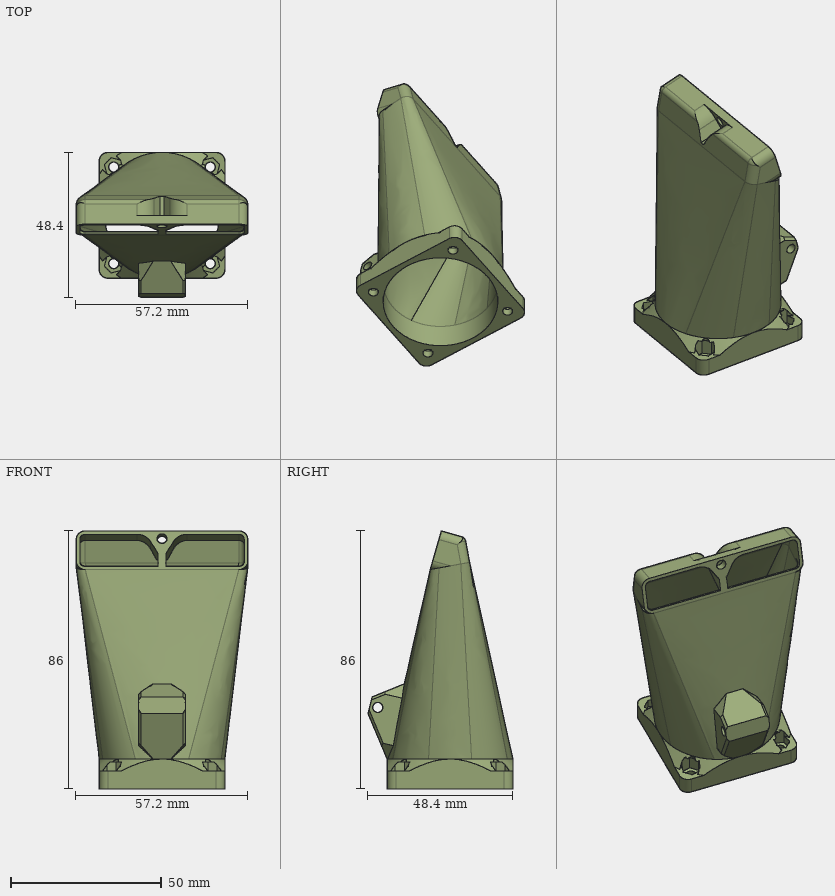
import cadquery as cq
import math

total_height = 86.0
head_width = 57.2

base_side = 42.0
base_height = 10.0
base_corner_height = 6.0
base_corner_radius = 3.0
screw_spacing = 32.2
hole_diameter = 3.3
nut_across_flats = 5.6
nut_pocket_floor = 3.0
nut_pocket_roof = 9.0

bore_diameter = 38.2
head_wall = 1.2
duct_side_angle = 20.0
duct_face_angle = 65.0

face_tilt = 16.0
face_bottom_y = -6.6
face_bottom_z = 73.1
head_rear_y = 6.5
head_rear_z = 75.5
head_corner_radius = 3.0
head_rear_radius = 2.15
rib_half_width = 1.3
fairing_slope = 59.0
fairing_centre_x = 8.3

recess_front_wall = 3.0
recess_half_floor = 0.7
recess_radius = 6.5
screw_height = 10.75

lug_width = 15.6
lug_chamfer = 4.8
lug_bevel = 0.9
lug_top = (-26.0, 30.7)
lug_tip = (-27.35, 25.1)
lug_length = 25.7
lug_hole = (-24.1, 27.2)

base_radius = base_side / 2
tilt = math.radians(face_tilt)
face_rise = total_height - face_bottom_z
face_height = face_rise / math.cos(tilt)
face_top_y = face_bottom_y + face_rise * math.tan(tilt)
head_depth = math.hypot(head_rear_y - face_bottom_y, head_rear_z - face_bottom_z)
shoulder_slope = math.atan2(head_rear_z - face_bottom_z, head_rear_y - face_bottom_y)
wall_lean = math.atan2(face_bottom_y + base_radius, face_bottom_z - base_height)
far = 2 * total_height

face_plane = cq.Plane(
    (0, face_bottom_y, face_bottom_z), (1, 0, 0), (0, -math.cos(tilt), math.sin(tilt))
)
shoulder_plane = cq.Plane(
    (0, (face_bottom_y + head_rear_y) / 2, (face_bottom_z + head_rear_z) / 2),
    (1, 0, 0),
    (0, -math.sin(shoulder_slope), math.cos(shoulder_slope)),
)
front_wall_plane = cq.Plane(
    (0, -base_radius, base_height), (1, 0, 0), (0, -math.cos(wall_lean), math.sin(wall_lean))
)


def make_base():
    """Square flange whose corners drop away along a 45 degree cone."""
    block = (
        cq.Workplane().rect(base_side, base_side).extrude(base_height)
        .edges("|Z").fillet(base_corner_radius)
    )
    cone_foot = base_radius + base_height - base_corner_height
    cone = (
        cq.Workplane("XZ")
        .moveTo(0, base_corner_height)
        .lineTo(cone_foot, base_corner_height)
        .lineTo(base_radius, base_height)
        .lineTo(0, base_height)
        .close()
        .revolve(360, (0, 0), (0, 1))
    )
    slab = cq.Workplane().rect(base_side, base_side).extrude(base_corner_height)
    base = block.intersect(slab.union(cone))
    screws = cq.Workplane().rect(screw_spacing, screw_spacing, forConstruction=True).vertices()
    base = base.cut(screws.circle(hole_diameter / 2).extrude(base_height))
    nut_corner_diameter = nut_across_flats / math.cos(math.pi / 6)
    for x_side in (-1, 1):
        for y_side in (-1, 1):
            corner_angle = math.degrees(math.atan2(y_side, x_side))
            nut = (
                cq.Workplane(origin=(0, 0, nut_pocket_floor))
                .polygon(6, nut_corner_diameter)
                .extrude(nut_pocket_roof - nut_pocket_floor)
                .rotate((0, 0, 0), (0, 0, 1), 30)
            )
            slot = (
                cq.Workplane(origin=(base_side / 4, 0, base_corner_height))
                .rect(base_side / 2, nut_corner_diameter)
                .extrude(nut_pocket_roof - base_corner_height)
            )
            pocket = (
                nut.union(slot)
                .rotate((0, 0, 0), (0, 0, 1), corner_angle)
                .translate((x_side * screw_spacing / 2, y_side * screw_spacing / 2, 0))
            )
            base = base.cut(pocket)
    return base


def round_section(radius):
    """Circle split into eight arcs that pair with the sides and corners of the shoulder."""
    steps = [duct_side_angle, duct_face_angle, 180 - duct_face_angle, 180 - duct_side_angle]
    angles = [-duct_side_angle] + steps + [180 + a for a in steps[:3]] + [360 - duct_side_angle]

    def point(angle):
        return radius * math.cos(math.radians(angle)), radius * math.sin(math.radians(angle))

    wire = cq.Workplane(origin=(0, 0, base_height)).moveTo(*point(angles[0]))
    for start, end in zip(angles, angles[1:]):
        wire = wire.threePointArc(point((start + end) / 2), point(end))
    return wire.close().val()


def shoulder_section(inset):
    """Rounded rectangle on the shoulder plane, drawn in the same order as the circle."""
    half_x = head_width / 2 - inset
    half_y = head_depth / 2 - inset
    radius = head_corner_radius - inset
    flat_x = half_x - radius
    flat_y = half_y - radius
    diagonal = radius * math.sqrt(0.5)
    return (
        cq.Workplane(shoulder_plane)
        .moveTo(half_x, -flat_y)
        .lineTo(half_x, flat_y)
        .threePointArc((flat_x + diagonal, flat_y + diagonal), (flat_x, half_y))
        .lineTo(-flat_x, half_y)
        .threePointArc((-flat_x - diagonal, flat_y + diagonal), (-half_x, flat_y))
        .lineTo(-half_x, -flat_y)
        .threePointArc((-flat_x - diagonal, -flat_y - diagonal), (-flat_x, -half_y))
        .lineTo(flat_x, -half_y)
        .threePointArc((flat_x + diagonal, -flat_y - diagonal), (half_x, -flat_y))
        .close()
        .val()
    )


def make_duct(diameter, wall):
    """Round-to-rectangle transition from the flange up to the shoulder."""
    sections = [round_section(diameter / 2), shoulder_section(wall)]
    return cq.Workplane(cq.Solid.makeLoft(sections, True))


def rear_panel(inset):
    """Side outline points of the head's rear face, moved inward by the inset: (foot, top)."""
    lean = (-math.sin(shoulder_slope), math.cos(shoulder_slope))
    foot_y = head_rear_y - inset * lean[1]
    foot_z = head_rear_z + inset * lean[0]
    gap = (face_top_y - foot_y) * math.sin(tilt) + (total_height - foot_z) * math.cos(tilt)
    rise = gap / (lean[0] * math.sin(tilt) + lean[1] * math.cos(tilt))
    return (foot_y, foot_z), (foot_y + rise * lean[0], foot_z + rise * lean[1])


def midpoint(start, end):
    return (start[0] + end[0]) / 2, (start[1] + end[1]) / 2


def side_prism(points, width):
    """Prism centred on X from an outline of (y, z) points."""
    return cq.Workplane("YZ").polyline(points).close().extrude(width / 2, both=True)


def make_wedge(inset):
    """Side wedge between outlet face, top, rear and shoulder, its rear and sides moved inward."""
    rear_foot, rear_top = rear_panel(inset)
    face_foot = (face_bottom_y, face_bottom_z)
    width = head_width - 2 * inset
    wedge = side_prism([face_foot, (face_top_y, total_height), rear_top, rear_foot], width)
    rear_middle = midpoint(rear_foot, rear_top)
    for side in (-1, 1):
        upright = cq.selectors.NearestToPointSelector((side * width / 2, *rear_middle))
        wedge = wedge.edges(upright).fillet(head_corner_radius - inset)
    return wedge


def make_head():
    """Outlet head: wedge-shaped in side outline, rounded rectangle seen on the outlet face."""
    head = make_wedge(0)
    rear_top = rear_panel(0)[1]
    top_edge = cq.selectors.NearestToPointSelector((0, *rear_top))
    head = head.edges(top_edge).fillet(head_rear_radius)
    face_block = (
        cq.Workplane(face_plane)
        .center(0, face_height / 2)
        .rect(head_width, face_height)
        .extrude(-far)
        .edges(cq.selectors.ParallelDirSelector(face_plane.zDir))
        .fillet(head_corner_radius)
    )
    return head.intersect(face_block)


def fairing(radius, foot_x):
    """Flared rib side on the outlet face, for +X: slope foot, arc start, arc middle, arc top.

    The arcs share one centre, so the window and the recess stay one wall apart.
    """
    centre_y = face_height - recess_radius
    slope = math.radians(fairing_slope)

    def on_arc(turn):
        return fairing_centre_x - radius * math.sin(turn), centre_y + radius * math.cos(turn)

    arc_start = on_arc(slope)
    foot_y = arc_start[1] - (arc_start[0] - foot_x) * math.tan(slope)
    return (foot_x, foot_y), arc_start, on_arc(slope / 2), on_arc(0)


def make_openings():
    """Two mirrored outlet windows, separated by a rib that widens around the screw."""
    outer_x = head_width / 2 - head_wall
    bottom = head_wall
    top = face_height - head_wall
    foot, arc_start, arc_middle, arc_top = fairing(recess_radius - head_wall, rib_half_width)
    window = (
        cq.Workplane(face_plane)
        .moveTo(rib_half_width, bottom)
        .lineTo(*foot)
        .lineTo(*arc_start)
        .threePointArc(arc_middle, arc_top)
        .lineTo(outer_x, top)
        .lineTo(outer_x, bottom)
        .close()
        .extrude(-far)
    )
    outer_edges = window.edges(cq.selectors.ParallelDirSelector(face_plane.zDir)).edges(">X")
    window = outer_edges.fillet(head_corner_radius - head_wall)
    window = window.intersect(make_wedge(head_wall))
    return window.union(window.mirror("YZ"))


def make_throats():
    """Short passages, one each side of the rib, leading from the duct into the windows."""
    throat = cq.Workplane(shoulder_plane).add(shoulder_section(head_wall)).toPending().extrude(head_wall)
    rib = cq.Workplane().box(2 * rib_half_width, far, far)
    return throat.cut(rib)


def make_recess():
    """Funnel-shaped pocket open at the top and rear of the head, clearing the screw."""
    def mirrored(point):
        return -point[0], point[1]

    foot, arc_start, arc_middle, arc_top = fairing(recess_radius, recess_half_floor)
    return (
        cq.Workplane(face_plane)
        .moveTo(*mirrored(foot))
        .lineTo(*foot)
        .lineTo(*arc_start)
        .threePointArc(arc_middle, arc_top)
        .lineTo(*mirrored(arc_top))
        .threePointArc(mirrored(arc_middle), mirrored(arc_start))
        .close()
        .extrude(-far)
        .translate(face_plane.zDir * -recess_front_wall)
    )


def make_screw_hole():
    """Hole square to the outlet face, through the wall in front of the recess."""
    hole = cq.Workplane(face_plane).center(0, screw_height).circle(hole_diameter / 2)
    return hole.extrude(-2 * recess_front_wall)


def make_lug():
    """Hinge lug on the front wall, bevelled at its outer edges and cut back at the wall corners."""
    wall_foot = (-base_radius, base_height)
    wall_top = (
        -base_radius + lug_length * math.sin(wall_lean),
        base_height + lug_length * math.cos(wall_lean),
    )
    root = (0, base_height)
    lug = side_prism([root, wall_foot, lug_tip, lug_top, wall_top, (0, wall_top[1])], lug_width)
    for start, end in ((wall_foot, lug_tip), (lug_top, wall_top)):
        middle = midpoint(start, end)
        for side in (-1, 1):
            edge = cq.selectors.NearestToPointSelector((side * lug_width / 2, *middle))
            lug = lug.edges(edge).chamfer(lug_bevel)
    outline = (
        cq.Workplane(front_wall_plane)
        .center(0, lug_length / 2)
        .rect(lug_width, lug_length)
        .extrude(base_radius / 2, both=True)
        .edges(cq.selectors.ParallelDirSelector(front_wall_plane.zDir))
        .chamfer(lug_chamfer)
    )
    hole = (
        cq.Workplane("YZ").center(*lug_hole).circle(hole_diameter / 2)
        .extrude(lug_width, both=True)
    )
    return lug.intersect(outline).cut(hole)


bore = cq.Workplane().circle(bore_diameter / 2).extrude(base_height)
result = (
    make_base()
    .union(make_duct(base_side, 0))
    .union(make_head())
    .union(make_lug())
    .cut(bore)
    .cut(make_duct(bore_diameter, head_wall))
    .cut(make_openings())
    .cut(make_throats())
    .cut(make_recess())
    .cut(make_screw_hole())
)